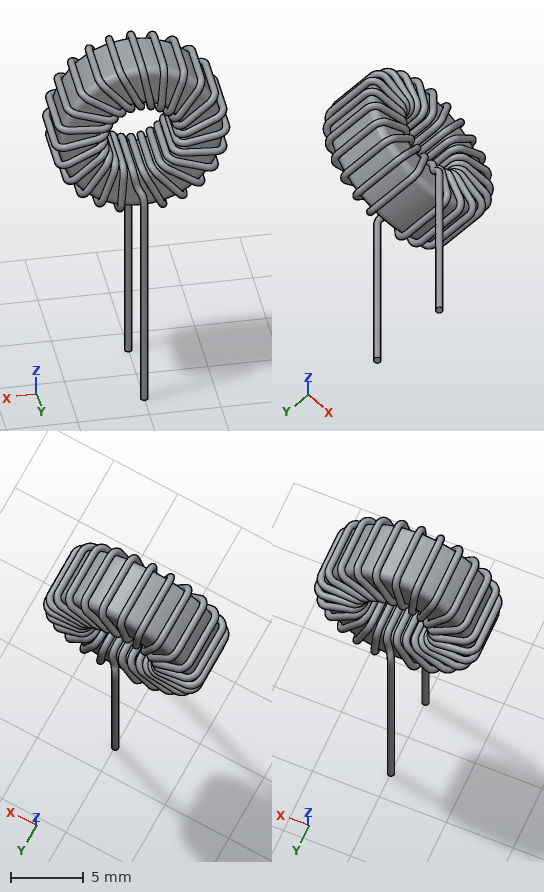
import cadquery as cq
import math


overall_height = 27.22
winding_diameter = 12.4
core_diameter = 11.4
bore_diameter = 5.6
core_width = 4.3
lead_spacing = 6.0
turn_count = 24
lead_top_z = -5.04
jog_reach = 1.22

wire_diameter = (winding_diameter - core_diameter) / 2
wire_radius = wire_diameter / 2
core_fillet = wire_diameter
bend_radius = core_fillet + wire_radius
outer_radius = core_diameter / 2 + wire_radius
inner_radius = bore_diameter / 2 - wire_radius
back_y = core_width / 2 + wire_radius
front_y = -back_y
lead_end_z = winding_diameter / 2 - overall_height
turn_step = 2 * math.pi / turn_count
first_angle = -math.pi / 2

down = cq.Vector(0, 0, -1)


def make_core():
    """Ring with all four rims rounded."""
    return (
        cq.Workplane("XZ", origin=(0, core_width / 2, 0))
        .circle(core_diameter / 2)
        .circle(bore_diameter / 2)
        .extrude(core_width)
        .edges("%CIRCLE")
        .fillet(core_fillet)
    )


def ring_point(radius, angle, y):
    """Point at a radius and angle about the Y axis."""
    return cq.Vector(radius * math.cos(angle), y, radius * math.sin(angle))


def bend_points(corner, direction_in, direction_out):
    """Start, middle and end of the quarter bend that rounds a square corner."""
    start = corner - direction_in * bend_radius
    end = corner + direction_out * bend_radius
    centre = start + direction_out * bend_radius
    middle = centre + (direction_in - direction_out).normalized() * bend_radius
    return start, middle, end


def lead_points(y):
    """Top and bottom of the lead on the same side of the ring as y."""
    side_y = math.copysign(lead_spacing / 2, y)
    return cq.Vector(0, side_y, lead_top_z), cq.Vector(0, side_y, lead_end_z)


def jog(start, start_direction, end, end_direction):
    """S-shaped step between a face of the winding and a lead."""
    return cq.Edge.makeBezier([
        start,
        start + start_direction * jog_reach,
        end - end_direction * jog_reach,
        end,
    ])


def winding_corners():
    """Square corners of the wire: radial on the front face, slanted to the next turn on the back."""
    corners = []
    for turn in range(turn_count):
        angle = first_angle - turn * turn_step
        if turn > 0:
            corners.append(ring_point(outer_radius, angle, back_y))
            corners.append(ring_point(outer_radius, angle, front_y))
        corners.append(ring_point(inner_radius, angle, front_y))
        corners.append(ring_point(inner_radius, angle, back_y))
    return corners


def wire_path():
    """Wire centreline from the end of the front lead to the end of the back lead."""
    corners = winding_corners()
    bottom_front = ring_point(outer_radius, first_angle, front_y)
    bottom_back = ring_point(outer_radius, first_angle, back_y)
    route = [bottom_front] + corners + [bottom_back]
    bends = []
    for before, corner, after in zip(route, corners, route[2:]):
        direction_in = (corner - before).normalized()
        direction_out = (after - corner).normalized()
        bends.append(bend_points(corner, direction_in, direction_out))

    front_lead_top, front_lead_end = lead_points(front_y)
    back_lead_top, back_lead_end = lead_points(back_y)
    last_direction = (bottom_back - corners[-1]).normalized()

    edges = [
        cq.Edge.makeLine(front_lead_end, front_lead_top),
        jog(front_lead_top, -down, bends[0][0], -down),
    ]
    for index, (start, middle, end) in enumerate(bends):
        if index > 0:
            edges.append(cq.Edge.makeLine(bends[index - 1][2], start))
        edges.append(cq.Edge.makeThreePointArc(start, middle, end))
    edges.append(jog(bends[-1][2], last_direction, back_lead_top, down))
    edges.append(cq.Edge.makeLine(back_lead_top, back_lead_end))
    return cq.Wire.assembleEdges(edges)


def make_winding():
    """One continuous round wire, from the front lead through every turn to the back lead."""
    lead_end = lead_points(front_y)[1]
    section = cq.Wire.makeCircle(wire_radius, lead_end, -down)
    return cq.Solid.sweep(section, [], wire_path())


core = make_core()
winding = make_winding()

result = cq.Compound.makeCompound([core.val(), winding])